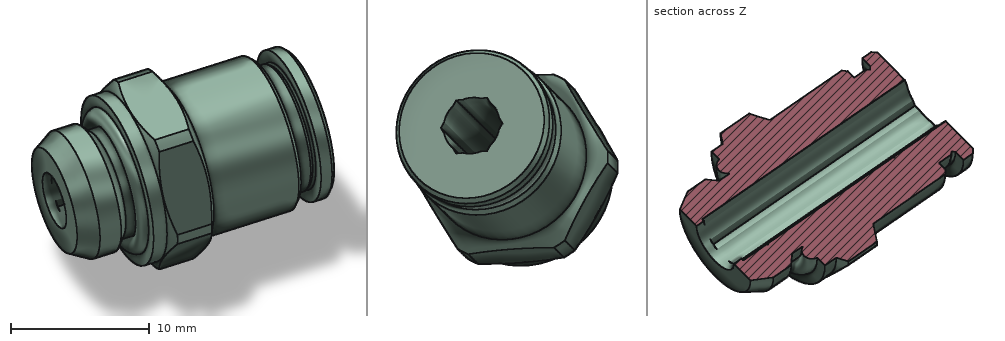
import cadquery as cq
import math


THREAD_TIP_END = 1.44
THREAD_END = 3.11
NECK_START = 3.8
SEAL_FRONT = 4.33
FLANGE_START = 4.96
HEX_START = 6.03
BODY_START = 9.99
BODY_END = 17.02
COLLAR_END = 18.1
GROOVE_BOTTOM = 18.35
CAP_START = 18.52
LENGTH = 19.7

TIP_RADIUS = 4.02
THREAD_RADIUS = 4.87
NECK_RADIUS = 4.14
SEAL_OUTER_RADIUS = 5.58
SEAL_SECTION_RADIUS = 0.75
FLANGE_RADIUS = 6.45
BODY_RADIUS = 5.87
COLLAR_RADIUS = 4.83
GROOVE_RADIUS = 4.65
CAP_RADIUS = 5.75
EDGE_CHAMFER = 0.32

HEX_FLATS = 13.0
HEX_CORNER_RADIUS = 7.25
HEX_CHAMFER_SLOPE = math.tan(math.radians(30))

BORE_RADIUS = 2.1
SOCKET_FLATS = 4.0
SOCKET_START = 0.73


def revolve_profile(profile):
    """Revolve a closed (radius, axial) profile about the Y axis."""
    return profile.close().revolve(360, (0, 0, 0), (0, 1, 0))


def hex_prism(flats, start, end):
    """Hexagonal prism along Y with corners on the X axis."""
    corner_diameter = flats / math.cos(math.radians(30))
    return (
        cq.Workplane("XZ", origin=(0, start, 0))
        .polygon(6, corner_diameter)
        .extrude(start - end)
    )


def make_threaded_end():
    """Thread plug, neck, rounded seal ring and round flange."""
    seal_center = SEAL_OUTER_RADIUS - SEAL_SECTION_RADIUS
    seal_axial = SEAL_FRONT + SEAL_SECTION_RADIUS
    neck_offset = seal_center - NECK_RADIUS
    neck_contact = seal_axial - math.sqrt(SEAL_SECTION_RADIUS**2 - neck_offset**2)
    flange_offset = seal_axial - FLANGE_START
    flange_contact = seal_center + math.sqrt(SEAL_SECTION_RADIUS**2 - flange_offset**2)
    return revolve_profile(
        cq.Workplane("XY")
        .lineTo(TIP_RADIUS, 0)
        .lineTo(THREAD_RADIUS, THREAD_TIP_END)
        .lineTo(THREAD_RADIUS, THREAD_END)
        .lineTo(NECK_RADIUS, NECK_START)
        .lineTo(NECK_RADIUS, neck_contact)
        .threePointArc((seal_center, SEAL_FRONT), (flange_contact, FLANGE_START))
        .lineTo(FLANGE_RADIUS, FLANGE_START)
        .lineTo(FLANGE_RADIUS, HEX_START)
        .lineTo(0, HEX_START)
    )


def make_wrench_hex():
    """Hexagon with its corners turned down and both ends coned at 30 degrees."""
    front_chamfer = (HEX_CORNER_RADIUS - FLANGE_RADIUS) * HEX_CHAMFER_SLOPE
    back_chamfer = (HEX_CORNER_RADIUS - BODY_RADIUS) * HEX_CHAMFER_SLOPE
    envelope = revolve_profile(
        cq.Workplane("XY")
        .moveTo(0, HEX_START)
        .lineTo(FLANGE_RADIUS, HEX_START)
        .lineTo(HEX_CORNER_RADIUS, HEX_START + front_chamfer)
        .lineTo(HEX_CORNER_RADIUS, BODY_START - back_chamfer)
        .lineTo(BODY_RADIUS, BODY_START)
        .lineTo(0, BODY_START)
    )
    return hex_prism(HEX_FLATS, HEX_START, BODY_START).intersect(envelope)


def make_tube_end():
    """Cylindrical body, release collar, undercut groove and end cap."""
    return revolve_profile(
        cq.Workplane("XY")
        .moveTo(0, BODY_START)
        .lineTo(BODY_RADIUS, BODY_START)
        .lineTo(BODY_RADIUS, BODY_END - EDGE_CHAMFER)
        .lineTo(BODY_RADIUS - EDGE_CHAMFER, BODY_END)
        .lineTo(COLLAR_RADIUS, BODY_END)
        .lineTo(COLLAR_RADIUS, COLLAR_END)
        .lineTo(GROOVE_RADIUS, GROOVE_BOTTOM)
        .lineTo(COLLAR_RADIUS, CAP_START)
        .lineTo(CAP_RADIUS, CAP_START)
        .lineTo(CAP_RADIUS, LENGTH - EDGE_CHAMFER)
        .lineTo(CAP_RADIUS - EDGE_CHAMFER, LENGTH)
        .lineTo(0, LENGTH)
    )


def make_bore():
    """Round through hole; the hexagon corners start just inside the thread end."""
    hole = cq.Workplane("XZ").circle(BORE_RADIUS).extrude(-LENGTH)
    return hole.union(hex_prism(SOCKET_FLATS, SOCKET_START, LENGTH))


outside = make_threaded_end().union(make_wrench_hex()).union(make_tube_end())
result = outside.cut(make_bore())